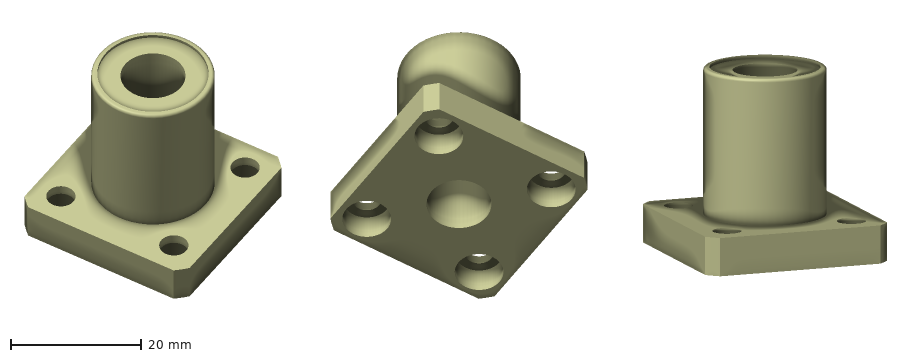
import cadquery as cq

flange_side = 30.0
flange_thickness = 6.0
flange_disc_diameter = 40.0

total_height = 29.0
sleeve_diameter = 19.0
rim_fillet = 0.5
bore_diameter = 10.0

recess_diameter = 17.1
recess_depth = 0.5

hole_spacing = 20.52
hole_diameter = 4.5
counterbore_diameter = 7.5
counterbore_depth = 4.4


def make_flange():
    plate = cq.Workplane("XY").box(
        flange_side, flange_side, flange_thickness, centered=(True, True, False)
    )
    disc = cq.Workplane("XY").circle(flange_disc_diameter / 2).extrude(flange_thickness)
    return plate.intersect(disc)


def make_sleeve():
    sleeve = cq.Workplane("XY").circle(sleeve_diameter / 2).extrude(total_height)
    return sleeve.faces(">Z").edges().fillet(rim_fillet)


def make_center_cut():
    bore = cq.Workplane("XY").circle(bore_diameter / 2).extrude(total_height)
    recess = (
        cq.Workplane("XY", origin=(0, 0, total_height - recess_depth))
        .circle(recess_diameter / 2)
        .extrude(recess_depth)
    )
    return bore.union(recess)


def make_hole_pattern(diameter, depth):
    return (
        cq.Workplane("XY")
        .rect(hole_spacing, hole_spacing, forConstruction=True)
        .vertices()
        .circle(diameter / 2)
        .extrude(depth)
    )


def make_screw_holes():
    shanks = make_hole_pattern(hole_diameter, flange_thickness)
    counterbores = make_hole_pattern(counterbore_diameter, counterbore_depth)
    return shanks.union(counterbores)


result = make_flange().union(make_sleeve()).cut(make_center_cut()).cut(make_screw_holes())